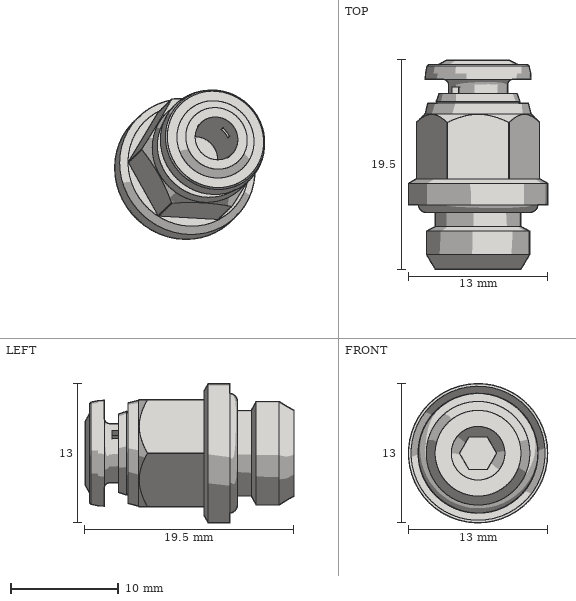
import cadquery as cq
import math


thread_radius = 4.835
neck_radius = 4.0
tip_radius = 4.0
tip_chamfer_end = 1.4
thread_end = 3.55
neck_start = 4.0

flange_radius = 6.5
flange_start = 6.0
flange_end = 8.42
flange_chamfer_length = 0.4
flange_top_radius = 5.8
recess_mouth_radius = 6.25
recess_depth = 0.7
seal_section_radius = 0.8
seal_ring_radius = neck_radius + seal_section_radius
seal_center = flange_start + 0.08

hex_across_flats = 10.0
hex_corner_radius = 5.75
hex_end = 14.5
hex_top_radius = 4.95

shoulder_end = 15.5
shoulder_top_radius = 4.7
collar_start = shoulder_end
collar_wide_position = 15.63
collar_end = 16.4
collar_base_radius = 3.8
collar_wide_radius = 3.92
collar_top_radius = 3.65

sleeve_radius = 2.77
sleeve_fillet = 0.5
button_start = 17.7
button_side_end = 18.25
button_taper_end = 18.95
button_face = 19.1
button_radius = 4.95
button_side_radius = 4.92
button_taper_radius = 4.77
button_face_radius = 4.62
button_cone_radius = 3.7
button_tip_radius = 2.95
overall_length = 19.5

tube_radius = 2.05
bore_start = 11.5
slot_width = 1.0
slot_end = 17.0
slot_angle = 40.0

socket_across_flats = 3.0
socket_depth = 4.0
countersink_radius = 2.5
countersink_half_angle = 45.0


def revolve_about_y(profile):
    return profile.close().revolve(360, (0, 0, 0), (0, 1, 0))


def disc(radius, start, end):
    return cq.Workplane("XZ", origin=(0, start, 0)).circle(radius).extrude(start - end)


def hex_prism(across_flats, start, end):
    corner_diameter = across_flats / math.cos(math.radians(30))
    return cq.Workplane("XZ", origin=(0, start, 0)).polygon(6, corner_diameter).extrude(start - end)


def threaded_end():
    return revolve_about_y(
        cq.Workplane("XY")
        .moveTo(0, 0)
        .lineTo(tip_radius, 0)
        .lineTo(thread_radius, tip_chamfer_end)
        .lineTo(thread_radius, thread_end)
        .lineTo(neck_radius, neck_start)
        .lineTo(neck_radius, flange_end)
        .lineTo(0, flange_end)
    )


def flange():
    recess_floor = flange_start + recess_depth
    return revolve_about_y(
        cq.Workplane("XY")
        .moveTo(0, recess_floor)
        .lineTo(recess_mouth_radius - recess_depth, recess_floor)
        .lineTo(recess_mouth_radius, flange_start)
        .lineTo(flange_radius, flange_start)
        .lineTo(flange_radius, flange_end - flange_chamfer_length)
        .lineTo(flange_top_radius, flange_end)
        .lineTo(0, flange_end)
    )


def seal_ring():
    recess_floor = flange_start + recess_depth
    seat_half_width = math.sqrt(seal_section_radius**2 - (recess_floor - seal_center)**2)
    return revolve_about_y(
        cq.Workplane("XY")
        .moveTo(neck_radius, seal_center)
        .threePointArc(
            (seal_ring_radius, seal_center - seal_section_radius),
            (seal_ring_radius + seat_half_width, recess_floor),
        )
        .lineTo(neck_radius, recess_floor)
    )


def hex_body():
    chamfer_length = hex_corner_radius - hex_top_radius
    envelope = disc(hex_corner_radius, flange_end, hex_end).faces(">Y").chamfer(chamfer_length)
    return hex_prism(hex_across_flats, flange_end, hex_end).intersect(envelope)


def shoulder_and_sleeve():
    return revolve_about_y(
        cq.Workplane("XY")
        .moveTo(0, hex_end)
        .lineTo(hex_top_radius, hex_end)
        .lineTo(shoulder_top_radius, shoulder_end)
        .lineTo(collar_base_radius, collar_start)
        .lineTo(collar_wide_radius, collar_wide_position)
        .lineTo(collar_top_radius, collar_end)
        .lineTo(sleeve_radius, collar_end)
        .lineTo(sleeve_radius, button_start - sleeve_fillet)
        .tangentArcPoint((sleeve_radius + sleeve_fillet, button_start), relative=False)
        .lineTo(button_radius, button_start)
        .lineTo(button_side_radius, button_side_end)
        .lineTo(button_taper_radius, button_taper_end)
        .lineTo(button_face_radius, button_face)
        .lineTo(button_cone_radius, button_face)
        .lineTo(button_tip_radius, overall_length)
        .lineTo(0, overall_length)
    )


def tube_bore():
    return disc(tube_radius, bore_start, overall_length)


def sleeve_slot():
    return (
        cq.Workplane("XY")
        .box(sleeve_radius * 2, slot_end - collar_end, slot_width, centered=(False, False, True))
        .translate((0, collar_end, 0))
        .rotate((0, 0, 0), (0, 1, 0), 180 + slot_angle)
    )


def key_socket():
    cone_depth = countersink_radius / math.tan(math.radians(countersink_half_angle))
    countersink = revolve_about_y(
        cq.Workplane("XY").moveTo(0, 0).lineTo(countersink_radius, 0).lineTo(0, cone_depth)
    )
    return hex_prism(socket_across_flats, 0, socket_depth).union(countersink)


result = (
    threaded_end()
    .union(flange())
    .union(seal_ring())
    .union(hex_body())
    .union(shoulder_and_sleeve())
    .cut(tube_bore())
    .cut(sleeve_slot())
    .cut(key_socket())
)